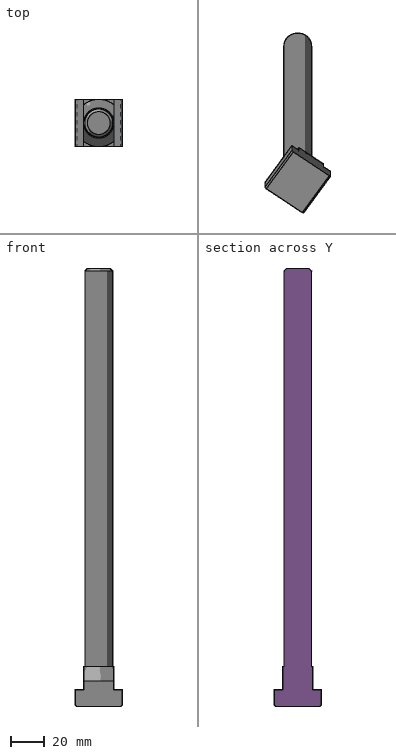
import cadquery as cq

total_height = 260.0
head_width = 28.0

neck_width = 18.0
flange_height = 10.1
shoulder_height = 15.3
base_chamfer = 1.0

cone_top = 24.0
cone_bottom_radius = head_width / 2
cone_top_radius = neck_width / 2

shank_diameter = 16.6
tip_chamfer = 1.5


def make_flange():
    """Square plate whose two bottom edges along Y are chamfered."""
    plate = cq.Workplane("XY").rect(head_width, head_width).extrude(flange_height)
    return plate.faces("<Z").edges("|Y").chamfer(base_chamfer)


def make_neck():
    """Narrow block on the flange, running the full depth of the head."""
    return (
        cq.Workplane("XY", origin=(0, 0, flange_height))
        .rect(neck_width, head_width)
        .extrude(shoulder_height - flange_height)
    )


def make_transition():
    """Cone on the neck, cut flat on both sides to the neck width."""
    height = cone_top - shoulder_height
    base = cq.Workplane("XY", origin=(0, 0, shoulder_height))
    cone = base.circle(cone_bottom_radius).workplane(offset=height).circle(cone_top_radius).loft()
    side_limits = base.rect(neck_width, head_width).extrude(height)
    return cone.intersect(side_limits)


def make_shank():
    """Cylinder rising from the transition, with a chamfered tip."""
    shank = (
        cq.Workplane("XY", origin=(0, 0, cone_top))
        .circle(shank_diameter / 2)
        .extrude(total_height - cone_top)
    )
    return shank.faces(">Z").edges().chamfer(tip_chamfer)


result = make_flange().union(make_neck()).union(make_transition()).union(make_shank())